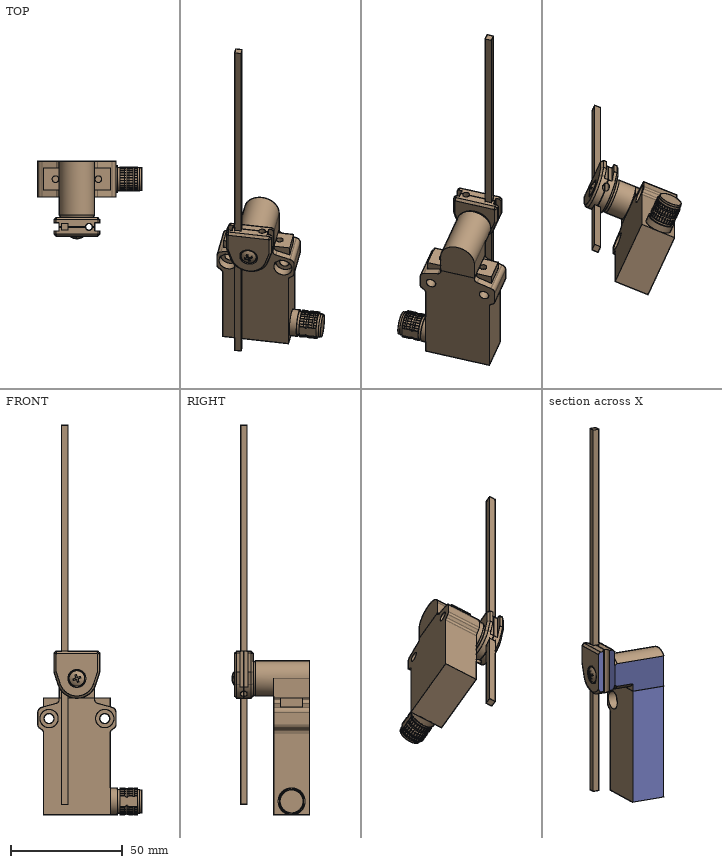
import cadquery as cq
import math

TOTAL_HEIGHT = 174.2
TOTAL_WIDTH = 46.5
TOTAL_DEPTH = 34.7

BODY_WIDTH = 30.0
BODY_DEPTH = 16.0
BODY_TOP = 52.3
EAR_WIDTH = 35.0
EAR_EDGE_BOTTOM = 39.4
EAR_BOTTOM = 37.5
EAR_FILLET = 2.5
EAR_UNDER_FILLET = 1.5
SHOULDER_HEIGHT = 50.2
SHOULDER_SLOPE = 15.0
SHOULDER_FILLET = 1.7
PAD_DEPTH = 10.0
PAD_HOLE_SPACING = 19.2
PAD_HOLE_DIAMETER = 3.0
PAD_HOLE_DEPTH = 2.6
MOUNT_SPACING = 25.0
MOUNT_HEIGHT = 43.0
MOUNT_DIAMETER = 4.4
MOUNT_SEAT_DIAMETER = 8.2
MOUNT_SEAT_DEPTH = 4.0

HEAD_DIAMETER = 15.9
AXIS_HEIGHT = 61.0
HEAD_LENGTH = 25.1
HEAD_CHAMFER_LENGTH = 1.0
HEAD_CHAMFER_RADIAL = 0.5

CLAMP_DEPTH = 8.5
CLAMP_GAP = 0.2
CLAMP_WIDTH = 20.5
CLAMP_TOP = 73.2
CLAMP_SIDE_BOTTOM = 63.8
CLAMP_RADIUS = 8.9
CLAMP_CORNER = 0.9
CLAMP_CHAMFER = 1.0
CHANNEL_WIDTH = 3.7
CHANNEL_FLOOR_SPACING = 16.0
ROD_OFFSET = 5.4
SPARE_HOLE_DIAMETER = 3.0

ROD_SIDE = 3.0
ROD_BOTTOM = 4.7

SCREW_DIAMETER = 7.0
SCREW_SEAT_DIAMETER = 8.0
SCREW_SEAT_DEPTH = 1.7
SCREW_DOME_RADIUS = 5.2
CROSS_LENGTH = 3.5
CROSS_WIDTH = 0.7
CROSS_DEPTH = 1.0
CROSS_ANGLE = 20.0

FLANGE_DIAMETER = 12.0
FLANGE_END = 18.1
NECK_DIAMETER = 10.6
NUT_START = 19.3
NUT_END = 27.0
NUT_DIAMETER = 12.0
NUT_FLAT_DISTANCE = 10.8
THREAD_DIAMETER = 10.3
THREAD_START = 28.0
KNURL_COUNT = 30
KNURL_WIDTH = 0.2
KNURL_DEPTH = 0.2
V_GROOVE_PLACE = 22.3
V_GROOVE_WIDTH = 2.1
V_GROOVE_DEPTH = 0.3
RING_GROOVE_START = 25.1
RING_GROOVE_WIDTH = 0.7

CLAMP_BACK = HEAD_LENGTH
CLAMP_MIDDLE = CLAMP_BACK + CLAMP_DEPTH / 2
CLAMP_FRONT = CLAMP_BACK + CLAMP_DEPTH
CONNECTOR_HEIGHT = FLANGE_DIAMETER / 2
CONNECTOR_END = TOTAL_WIDTH - EAR_WIDTH / 2


def facing_front(depth):
    """XZ workplane at a depth from the back, with its normal towards -Y."""
    return cq.Workplane("XZ", origin=(0, -depth, 0))


def mirrored(half_outline):
    """Closed outline from a right half listed from bottom to top."""
    return half_outline + [(-x, z) for x, z in reversed(half_outline)]


def edge_at(x, z):
    """Selector for the edges along Y at (x, z) and (-x, z)."""
    reach = 0.09
    boxes = [
        cq.selectors.BoxSelector(
            (side * x - reach, -BODY_DEPTH, z - reach), (side * x + reach, 0, z + reach))
        for side in (-1, 1)
    ]
    return boxes[0] + boxes[1]


def make_housing():
    middle = HEAD_DIAMETER / 2
    side = BODY_WIDTH / 2
    ear = EAR_WIDTH / 2
    ear_top = SHOULDER_HEIGHT - (ear - middle) * math.tan(math.radians(SHOULDER_SLOPE))
    half_outline = [
        (side, 0),
        (side, EAR_BOTTOM),
        (ear, EAR_EDGE_BOTTOM),
        (ear, ear_top),
        (middle, SHOULDER_HEIGHT),
        (middle, BODY_TOP),
    ]
    body = facing_front(0).polyline(mirrored(half_outline)).close().extrude(BODY_DEPTH)
    body = body.edges(edge_at(side, EAR_BOTTOM)).fillet(EAR_UNDER_FILLET)
    body = body.edges(edge_at(ear, EAR_EDGE_BOTTOM)).fillet(EAR_UNDER_FILLET)
    body = body.edges(edge_at(ear, ear_top)).fillet(EAR_FILLET)
    body = body.edges(edge_at(middle, SHOULDER_HEIGHT)).fillet(SHOULDER_FILLET)

    pad = (
        cq.Workplane("XY", origin=(0, -BODY_DEPTH / 2, 0))
        .rect(BODY_WIDTH, PAD_DEPTH)
        .extrude(BODY_TOP)
    )
    pad_holes = (
        cq.Workplane("XY", origin=(0, -BODY_DEPTH / 2, BODY_TOP))
        .rarray(PAD_HOLE_SPACING, 1.7, 2, 1)
        .circle(PAD_HOLE_DIAMETER / 2)
        .extrude(-PAD_HOLE_DEPTH)
    )
    body = body.union(pad).cut(pad_holes)
    return (
        body.copyWorkplane(cq.Workplane("XZ", origin=(0, -BODY_DEPTH, MOUNT_HEIGHT)))
        .rarray(MOUNT_SPACING, 1.7, 2, 1)
        .cboreHole(MOUNT_DIAMETER, MOUNT_SEAT_DIAMETER, MOUNT_SEAT_DEPTH)
    )


def make_head():
    radius = HEAD_DIAMETER / 2
    barrel = facing_front(0).center(0, AXIS_HEIGHT).circle(radius).extrude(HEAD_LENGTH)
    barrel = barrel.faces("<Y").chamfer(HEAD_CHAMFER_LENGTH, HEAD_CHAMFER_RADIAL)
    base_height = AXIS_HEIGHT - BODY_TOP
    base = (
        facing_front(0)
        .center(0, BODY_TOP + base_height / 2)
        .rect(HEAD_DIAMETER, base_height)
        .extrude(BODY_DEPTH)
    )
    return barrel.union(base)


def clamp_outline(plane):
    """Shield shape: upright sides that lean in to a round bottom about the lever axis."""
    side = CLAMP_WIDTH / 2
    rise = CLAMP_SIDE_BOTTOM - AXIS_HEIGHT
    touch_angle = math.atan2(rise, side) - math.acos(CLAMP_RADIUS / math.hypot(side, rise))
    touch_x = CLAMP_RADIUS * math.cos(touch_angle)
    touch_z = AXIS_HEIGHT + CLAMP_RADIUS * math.sin(touch_angle)
    return (
        plane.moveTo(-touch_x, touch_z)
        .threePointArc((0, AXIS_HEIGHT - CLAMP_RADIUS), (touch_x, touch_z))
        .lineTo(side, CLAMP_SIDE_BOTTOM)
        .lineTo(side, CLAMP_TOP - CLAMP_CORNER)
        .lineTo(side - CLAMP_CORNER, CLAMP_TOP)
        .lineTo(CLAMP_CORNER - side, CLAMP_TOP)
        .lineTo(-side, CLAMP_TOP - CLAMP_CORNER)
        .lineTo(-side, CLAMP_SIDE_BOTTOM)
        .close()
    )


def make_clamp_half(direction, outer_face):
    """One half of the clamp; direction +1 grows towards the front, -1 towards the back."""
    inner_face = CLAMP_MIDDLE + direction * CLAMP_GAP / 2
    thickness = (CLAMP_DEPTH - CLAMP_GAP) / 2
    half = clamp_outline(facing_front(inner_face)).extrude(direction * thickness)
    half = half.faces(outer_face).chamfer(CLAMP_CHAMFER)

    channel_reach = CLAMP_WIDTH - CHANNEL_FLOOR_SPACING
    channels = (
        cq.Workplane("XY", origin=(0, -CLAMP_MIDDLE, 0))
        .rarray(CHANNEL_FLOOR_SPACING + channel_reach, 1.7, 2, 1)
        .rect(channel_reach, CHANNEL_WIDTH)
        .extrude(TOTAL_HEIGHT)
    )
    spare_hole = (
        cq.Workplane("XY", origin=(ROD_OFFSET, -CLAMP_MIDDLE, 0))
        .circle(SPARE_HOLE_DIAMETER / 2)
        .extrude(TOTAL_HEIGHT)
    )
    return half.cut(channels).cut(spare_hole).cut(make_rod())


def make_front_clamp():
    seat = (
        facing_front(CLAMP_FRONT - SCREW_SEAT_DEPTH)
        .center(0, AXIS_HEIGHT)
        .circle(SCREW_SEAT_DIAMETER / 2)
        .extrude(SCREW_SEAT_DEPTH)
    )
    return make_clamp_half(1, "<Y").cut(seat)


def make_rod():
    return (
        cq.Workplane("XY", origin=(-ROD_OFFSET, -CLAMP_MIDDLE, ROD_BOTTOM))
        .rect(ROD_SIDE, ROD_SIDE)
        .extrude(TOTAL_HEIGHT - ROD_BOTTOM)
    )


def make_screw():
    """Domed head, resting on the floor of its seat, with a cross recess."""
    seat_floor = CLAMP_FRONT - SCREW_SEAT_DEPTH
    dome_front = TOTAL_DEPTH + CROSS_WIDTH**2 / (4 * SCREW_DOME_RADIUS)
    blank = (
        facing_front(seat_floor)
        .center(0, AXIS_HEIGHT)
        .circle(SCREW_DIAMETER / 2)
        .extrude(dome_front - seat_floor)
    )
    dome_centre = (0, SCREW_DOME_RADIUS - dome_front, AXIS_HEIGHT)
    dome = cq.Workplane("XY", origin=dome_centre).sphere(SCREW_DOME_RADIUS)
    screw = blank.intersect(dome)
    for angle in (CROSS_ANGLE, CROSS_ANGLE + 90):
        slot = (
            facing_front(dome_front)
            .center(0, AXIS_HEIGHT)
            .transformed(rotate=(0, 0, angle))
            .rect(CROSS_LENGTH, CROSS_WIDTH)
            .extrude(-CROSS_DEPTH)
        )
        screw = screw.cut(slot)
    return screw


def connector_disc(diameter, start, end):
    return (
        cq.Workplane("YZ", origin=(start, -BODY_DEPTH / 2, CONNECTOR_HEIGHT))
        .circle(diameter / 2)
        .extrude(end - start)
    )


def make_nut():
    nut = connector_disc(NUT_DIAMETER, NUT_START, NUT_END)
    radius = NUT_DIAMETER / 2
    length = NUT_END - NUT_START

    knurls = (
        cq.Workplane("YZ", origin=(NUT_START, -BODY_DEPTH / 2, CONNECTOR_HEIGHT))
        .polarArray(radius, 0, 360, KNURL_COUNT)
        .rect(2 * KNURL_DEPTH, KNURL_WIDTH)
        .extrude(length)
    )
    nut = nut.cut(knurls)

    v_groove = (
        cq.Workplane("XY", origin=(V_GROOVE_PLACE, -BODY_DEPTH / 2, CONNECTOR_HEIGHT))
        .polyline([
            (-V_GROOVE_WIDTH / 2, radius),
            (0, radius - V_GROOVE_DEPTH),
            (V_GROOVE_WIDTH / 2, radius),
        ])
        .close()
        .revolve(360, (0, 0, 0), (1, 0, 0))
    )
    ring_end = RING_GROOVE_START + RING_GROOVE_WIDTH
    ring_groove = connector_disc(NUT_DIAMETER, RING_GROOVE_START, ring_end).cut(
        connector_disc(NUT_DIAMETER - 2 * KNURL_DEPTH, RING_GROOVE_START, ring_end))
    nut = nut.cut(v_groove).cut(ring_groove)

    flats = (
        cq.Workplane("YZ", origin=(NUT_START, -BODY_DEPTH / 2, CONNECTOR_HEIGHT))
        .rect(NUT_FLAT_DISTANCE, NUT_DIAMETER)
        .extrude(length)
    )
    return nut.intersect(flats)


def make_connector():
    connector = connector_disc(FLANGE_DIAMETER, BODY_WIDTH / 2, FLANGE_END)
    connector = connector.union(connector_disc(NECK_DIAMETER, FLANGE_END, NUT_START))
    connector = connector.union(make_nut())
    connector = connector.union(connector_disc(NECK_DIAMETER, NUT_END, THREAD_START))
    return connector.union(connector_disc(THREAD_DIAMETER, THREAD_START, CONNECTOR_END))


housing = make_housing()
head = make_head()
back_clamp = make_clamp_half(-1, ">Y")
front_clamp = make_front_clamp()
rod = make_rod()
screw = make_screw()
connector = make_connector()

result = cq.Compound.makeCompound([
    housing.val(),
    head.val(),
    back_clamp.val(),
    front_clamp.val(),
    rod.val(),
    screw.val(),
    connector.val(),
])